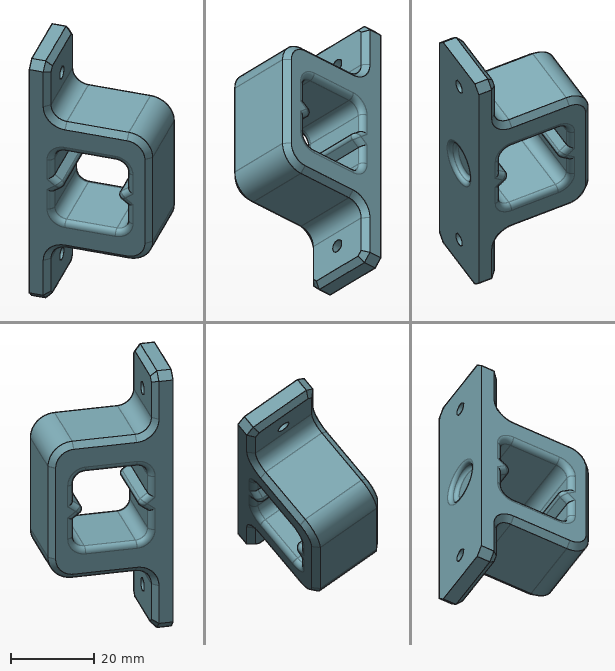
import cadquery as cq

plate_height = 68.0
plate_thickness = 5.0
width = 20.0
corner_cut = 2.0
hole_diameter = 3.2
hole_offset = 26.0

reach = 30.7
block_height = 36.05
root_radius = 4.0
block_radius = 6.0
edge_chamfer = 1.5

wall = 6.0
window_height = 20.0
window_radius = 3.0
window_rounding = 1.5
rib_half_base = 2.25
rib_height = 3.0
rib_tip_radius = 1.0
rib_overlap = 0.7

recess_diameter = 10.0
recess_blend = 1.0

TOLERANCE = 0.01


def centred_box(x_start, x_end, height):
    return cq.Workplane("XY").box(x_end - x_start, width, height).translate(((x_start + x_end) / 2, 0, 0))


def region(x_start, x_end, z_start, z_end):
    """Selector for edges centred within these limits, across the full width."""
    return cq.selectors.BoxSelector(
        (x_start - TOLERANCE, -width, z_start - TOLERANCE),
        (x_end + TOLERANCE, width, z_end + TOLERANCE),
    )


def make_body():
    """Plate and block with blended roots, rounded corners and a chamfered outer rim."""
    plate = centred_box(0, plate_thickness, plate_height)
    plate = plate.edges("|X").chamfer(corner_cut)
    block = centred_box(0, reach, block_height).edges("|Y and >X").fillet(block_radius)
    body = plate.union(block)
    roots = region(plate_thickness, plate_thickness, -block_height / 2, block_height / 2)
    body = body.edges("|Y").edges(roots).fillet(root_radius)

    plate_end = plate_height / 2
    cut_start = plate_end - corner_cut
    rim = body.faces("<Y or >Y").edges(region(plate_thickness, reach, -plate_end, plate_end))
    for z_start, z_end in ((cut_start, plate_end), (-plate_end, -cut_start)):
        rim = rim.add(body.edges("#X").edges(region(plate_thickness, plate_thickness, z_start, z_end)))
    return rim.chamfer(edge_chamfer)


def make_rib(wall_x, direction):
    """Rounded triangular rib pointing from a window wall into the opening."""
    root_x = wall_x - direction * rib_overlap
    tip_x = wall_x + direction * rib_height
    rib = (
        cq.Workplane("XZ")
        .polyline(
            [
                (root_x, -rib_half_base),
                (wall_x, -rib_half_base),
                (tip_x, 0),
                (wall_x, rib_half_base),
                (root_x, rib_half_base),
            ]
        )
        .close()
        .extrude(width, both=True)
    )
    tip = ">X" if direction > 0 else "<X"
    return rib.edges(tip).fillet(rib_tip_radius)


def cut_window(body):
    near_wall = wall
    far_wall = reach - wall
    opening = centred_box(near_wall, far_wall, window_height).edges("|Y").fillet(window_radius)
    opening = opening.cut(make_rib(near_wall, 1)).cut(make_rib(far_wall, -1))
    body = body.cut(opening)
    rim = region(near_wall, far_wall, -window_height / 2, window_height / 2)
    return body.faces("<Y or >Y").edges(rim).fillet(window_rounding)


def make_recess():
    """Recess with a rounded rim flowing into a rounded floor, turned about the X axis."""
    radius = recess_diameter / 2
    diagonal = recess_blend * 0.5**0.5
    depth = 2 * recess_blend
    return (
        cq.Workplane("XY")
        .lineTo(0, radius + recess_blend)
        .threePointArc(
            (recess_blend - diagonal, radius + recess_blend - diagonal), (recess_blend, radius)
        )
        .threePointArc(
            (recess_blend + diagonal, radius - recess_blend + diagonal), (depth, radius - recess_blend)
        )
        .lineTo(depth, 0)
        .close()
        .revolve(360, (0, 0), (1, 0))
    )


def make_holes():
    return (
        cq.Workplane("YZ")
        .pushPoints([(0, -hole_offset), (0, hole_offset)])
        .circle(hole_diameter / 2)
        .extrude(plate_thickness)
    )


result = cut_window(make_body()).cut(make_recess()).cut(make_holes())